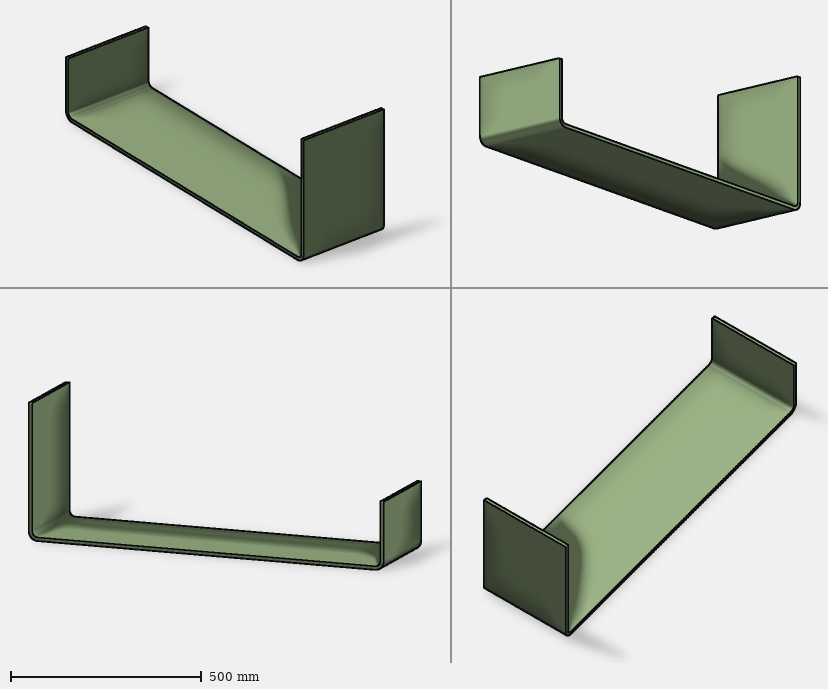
import cadquery as cq

length = 1000.0
width = 270.0
tall_height = 370.0
short_height = 185.0
thickness = 10.0
inner_radius = 15.0
outer_radius = inner_radius + thickness
corner_radius = 3.0


def make_upright(x_start, height):
    """Full-width plate standing on the base plane, with rounded top corners."""
    plate = cq.Workplane("XY").box(thickness, width, height, centered=(False, True, False))
    plate = plate.edges("|X and >Z").fillet(corner_radius)
    return plate.translate((x_start, 0, 0))


def round_bend_edge(body, x, z, radius):
    """Fillet the edge along Y that passes through (x, z)."""
    bend_edge = cq.selectors.NearestToPointSelector((x, 0, z))
    return body.edges("|Y").edges(bend_edge).fillet(radius)


def make_strip():
    """Base and two uprights joined by bends with concentric inner and outer radii."""
    outer_x = length / 2
    inner_x = outer_x - thickness
    base = cq.Workplane("XY").box(length, width, thickness, centered=(True, True, False))
    short_upright = make_upright(-outer_x, short_height)
    tall_upright = make_upright(inner_x, tall_height)
    strip = base.union(short_upright).union(tall_upright)

    for side in (-1, 1):
        strip = round_bend_edge(strip, side * outer_x, 0, outer_radius)
        strip = round_bend_edge(strip, side * inner_x, thickness, inner_radius)
    return strip


result = make_strip()